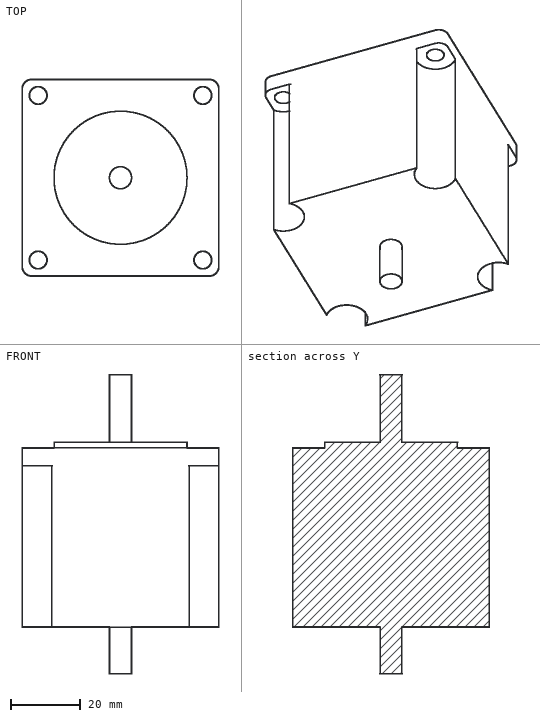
import cadquery as cq

side = 56.4
total_height = 85.7
rear_shaft_length = 13.4
body_height = 46.2
flange_thickness = 5.1
flange_corner_radius = 2.8
boss_diameter = 38.1
boss_height = 1.6
shaft_diameter = 6.3
hole_diameter = 5.0
hole_spacing = 47.1
relief_radius = 6.0

flange_top = body_height + flange_thickness
half_side = side / 2
hole_offset = hole_spacing / 2


def make_body():
    """Square body with a round scallop around each screw axis, open at the corner."""
    body = cq.Workplane("XY").rect(side, side).extrude(body_height)
    corner_width = half_side - hole_offset
    corner_center = (half_side + hole_offset) / 2
    for x_sign in (-1, 1):
        for y_sign in (-1, 1):
            scallop = (
                cq.Workplane("XY")
                .center(x_sign * hole_offset, y_sign * hole_offset)
                .circle(relief_radius)
                .extrude(body_height)
            )
            corner = (
                cq.Workplane("XY")
                .center(x_sign * corner_center, y_sign * corner_center)
                .rect(corner_width, corner_width)
                .extrude(body_height)
            )
            body = body.cut(scallop).cut(corner)
    return body


def make_flange():
    """Mounting flange with rounded corners and four through holes."""
    return (
        cq.Workplane("XY", origin=(0, 0, body_height))
        .rect(side, side)
        .extrude(flange_thickness)
        .edges("|Z")
        .fillet(flange_corner_radius)
        .faces(">Z")
        .workplane()
        .rect(hole_spacing, hole_spacing, forConstruction=True)
        .vertices()
        .hole(hole_diameter)
    )


def make_cylinder(diameter, bottom, height):
    return cq.Workplane("XY", origin=(0, 0, bottom)).circle(diameter / 2).extrude(height)


boss = make_cylinder(boss_diameter, flange_top, boss_height)
shaft = make_cylinder(shaft_diameter, -rear_shaft_length, total_height)

result = make_body().union(make_flange()).union(boss).union(shaft)